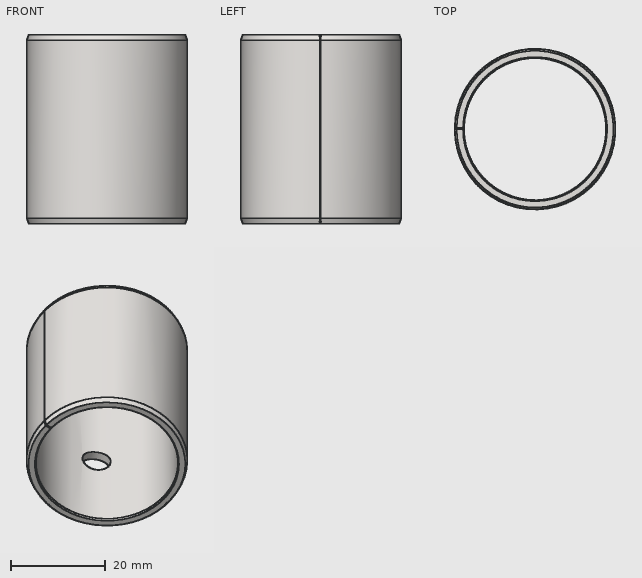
import cadquery as cq

length = 40.0
outer_diameter = 34.0
wall = 2.0
inner_diameter = outer_diameter - 2 * wall

outer_chamfer_height = 1.2
outer_chamfer_depth = 0.45
bore_chamfer_depth = 0.25
bore_chamfer_height = 0.4

split_angle = 1.0

oil_hole_diameter = 6.0
oil_hole_angle = 59.0


def bushing_sleeve():
    """Revolve the chamfered wall section about Z from the -X axis, leaving the split open."""
    outer_radius = outer_diameter / 2
    inner_radius = inner_diameter / 2
    half_length = length / 2
    section = [
        (-(inner_radius + bore_chamfer_depth), -half_length),
        (-(outer_radius - outer_chamfer_depth), -half_length),
        (-outer_radius, -half_length + outer_chamfer_height),
        (-outer_radius, half_length - outer_chamfer_height),
        (-(outer_radius - outer_chamfer_depth), half_length),
        (-(inner_radius + bore_chamfer_depth), half_length),
        (-inner_radius, half_length - bore_chamfer_height),
        (-inner_radius, -half_length + bore_chamfer_height),
    ]
    profile = cq.Workplane("XZ").polyline(section).close()
    return profile.revolve(360 - split_angle, (0, 0, 0), (0, 1, 0))


def oil_hole_cutter():
    """Radial cylinder at mid-length, crossing one side of the wall."""
    along_x = cq.Workplane("YZ").circle(oil_hole_diameter / 2).extrude(outer_diameter)
    return along_x.rotate((0, 0, 0), (0, 0, 1), oil_hole_angle)


result = bushing_sleeve().cut(oil_hole_cutter())